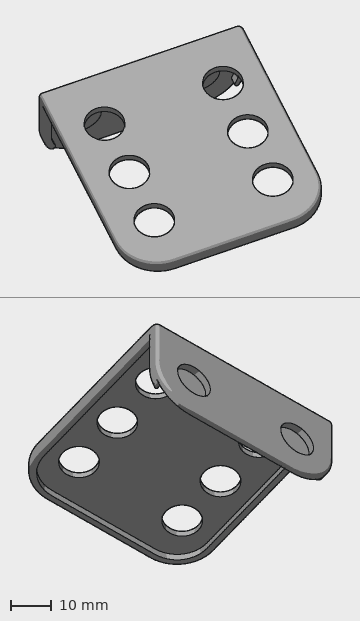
import cadquery as cq
import math

length = 60.67
width = 53.9
height = 27.02

skin_thickness = 1.9
rim_depth = 4.0
rim_width = 2.0
rim_radius = 1.0
bend_radius = 3.0

hole_pitch = 15.8
hole_diameter = 10.0
plate_hole_columns = 3
hole_rows_y = (-hole_pitch, hole_pitch)

corner_radius = width / 2 - hole_pitch

rim_end_angle = math.radians(26.3)


def make_angle():
    """Bent angle of full rim depth, with rounded corners and rounded free edges."""
    profile = [
        (0, 0),
        (length, 0),
        (length, -rim_depth),
        (rim_depth, -rim_depth),
        (rim_depth, -height),
        (0, -height),
    ]
    angle = cq.Workplane("XZ").polyline(profile).close().extrude(width / 2, both=True)
    angle = angle.edges("|Z and >X").fillet(corner_radius)
    angle = angle.edges("|X and <Z").fillet(corner_radius)
    angle = angle.edges(cq.NearestToPointSelector((0, 0, 0))).fillet(bend_radius)
    return angle.edges("|Y").edges(">X or <Z").fillet(rim_radius)


def inner_hollow():
    """Block that hollows the inside of the angle down to the skin, leaving the rim."""
    size_x = length - skin_thickness - rim_width
    size_y = width - 2 * rim_width
    size_z = height - skin_thickness - rim_width
    hollow_corner_radius = corner_radius - rim_width
    hollow = (
        cq.Workplane("XY")
        .box(size_x, size_y, size_z, centered=(False, True, False))
        .translate((skin_thickness, 0, -skin_thickness - size_z))
    )
    inner_bend = cq.NearestToPointSelector((skin_thickness, 0, -skin_thickness))
    hollow = hollow.edges(inner_bend).fillet(bend_radius - skin_thickness)
    hollow = hollow.edges("|Z and >X").fillet(hollow_corner_radius)
    return hollow.edges("|X and <Z").fillet(hollow_corner_radius)


def rim_opening():
    """Cutter that removes the rim at the lower end of the flange, leaving round rim ends."""
    rim_raise = rim_depth - skin_thickness
    inner_skin = cq.Workplane("YZ", origin=(skin_thickness, 0, 0))
    corner_y = width / 2 - corner_radius
    corner_z = corner_radius - height
    ray_z = corner_z - corner_radius * math.tan(rim_end_angle)
    outline = [
        (corner_y, corner_z),
        (width / 2, ray_z),
        (width / 2, -height),
        (-width / 2, -height),
        (-width / 2, ray_z),
        (-corner_y, corner_z),
    ]
    opening = inner_skin.polyline(outline).close().extrude(rim_raise)

    rim_centre_radius = corner_radius - rim_width / 2
    end_y = corner_y + rim_centre_radius * math.cos(rim_end_angle)
    end_z = corner_z - rim_centre_radius * math.sin(rim_end_angle)
    round_ends = (
        inner_skin.pushPoints([(-end_y, end_z), (end_y, end_z)])
        .circle(rim_width / 2)
        .extrude(rim_raise)
    )
    return opening.cut(round_ends)


def plate_holes():
    """Cutters for the grid of holes through the plate."""
    centres = [
        (column * hole_pitch, y)
        for column in range(1, plate_hole_columns + 1)
        for y in hole_rows_y
    ]
    return cq.Workplane("XY").pushPoints(centres).circle(hole_diameter / 2).extrude(-rim_depth)


def flange_holes():
    """Cutters for the pair of holes through the flange."""
    centres = [(y, -hole_pitch) for y in hole_rows_y]
    return cq.Workplane("YZ").pushPoints(centres).circle(hole_diameter / 2).extrude(rim_depth)


result = make_angle().cut(inner_hollow()).cut(rim_opening())
result = result.cut(plate_holes()).cut(flange_holes())